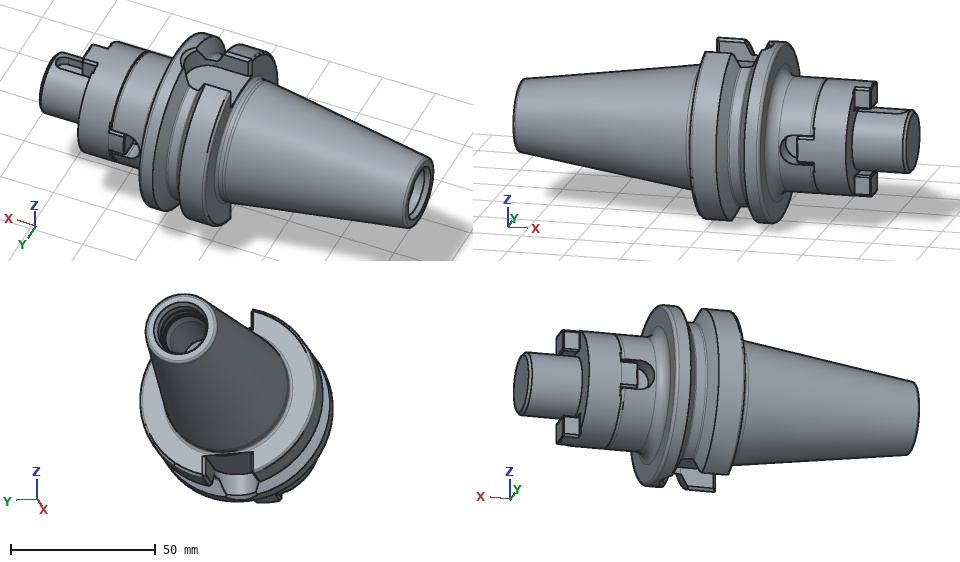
import cadquery as cq
import math


GAUGE_RADIUS = 44.45 / 2
TAPER_LENGTH = 65.4
TAPER_SLOPE = 7 / 48
TAPER_END_ROUND = 1.0
TAPER_BLEND_X = -1.0
TAPER_BLEND_HALF_LENGTH = 0.5

BORE_MOUTH_RADIUS = 9.6
BORE_MOUTH_DEPTH = 1.9
COUNTERBORE_RADIUS = 8.6
COUNTERBORE_DEPTH = 5.4
STEP_RADII = (8.2, 7.9)
STEP_DEPTHS = (7.9, 9.3)
LEAD_IN_RADIUS = 7.7
THREAD_BORE_RADIUS = 7.0
THREAD_BORE_START_DEPTH = 12.5
THREAD_BORE_END_DEPTH = 32.0
DRILL_POINT_HALF_ANGLE = 59.0

FLANGE_BACK_X = 2.0
FLANGE_FRONT_X = 27.0
FLANGE_RADIUS = 63.0 / 2
FLANGE_ROOT_FILLET = 1.0
FLANGE_BACK_ROUND = 0.9
FLANGE_FRONT_ROUND = 1.1
GROOVE_CENTER_X = 16.6
GROOVE_MOUTH_HALF_WIDTH = 5.0
GROOVE_FLOOR_RADIUS = 26.3
GROOVE_FLANK_ANGLE = 30.0
GROOVE_CORNER_FILLET = 0.6
EDGE_PICK_MARGIN = 0.1

DRIVE_SLOT_HALF_WIDTH = 8.1
DRIVE_SLOT_FLOOR = 22.5
DRIVE_SLOT_END_X = 23.0
DRIVE_SLOT_CHAMFER = 1.0
DRIVE_SLOT_TOP_CHAMFER = 1.3

NECK_RADIUS = 20.0
NECK_ROOT_FILLET = 4.0
NECK_EDGE_ROUND = 1.0
NECK_END_X = 43.0
PILOT_RADIUS = 11.0
PILOT_END_X = 74.0
PILOT_CHAMFER = 1.0
KEYWAY_WIDTH = 6.0
KEYWAY_END_X = 72.0
KEYWAY_FLOOR = 7.5

RING_LENGTH = 12.0
RING_FRONT_X = NECK_END_X + RING_LENGTH
FRONT_LUG_LENGTH = 5.3
REAR_LUG_LENGTH = 5.6
LUG_WIDTH = 9.8
LUG_INNER = 11.9
LUG_EDGE_CHAMFER = 0.6
LUG_OUTER_DROP = 0.65
LUG_END_CHAMFER = 0.5
LUG_RELIEF_DEPTH = 0.5
LUG_RELIEF_HALF_WIDTH = 7.8
LUG_SLOT_WIDTH = 10.6
LUG_SLOT_CENTER_X = 36.9


def taper_radius(x):
    return GAUGE_RADIUS + TAPER_SLOPE * x


def revolve_about_x(profile):
    return profile.close().revolve(360, (0, 0, 0), (1, 0, 0))


def make_turned_arbor():
    back_x = -TAPER_LENGTH
    collar_radius = taper_radius(TAPER_BLEND_X)
    blend_start_x = TAPER_BLEND_X - TAPER_BLEND_HALF_LENGTH
    blend_end_x = TAPER_BLEND_X + TAPER_BLEND_HALF_LENGTH

    shank = (
        cq.Workplane("XY")
        .moveTo(back_x, 0)
        .lineTo(back_x, taper_radius(back_x))
        .lineTo(blend_start_x, taper_radius(blend_start_x))
        .tangentArcPoint((blend_end_x, collar_radius), relative=False)
        .lineTo(FLANGE_BACK_X - FLANGE_ROOT_FILLET, collar_radius)
        .radiusArc((FLANGE_BACK_X, collar_radius + FLANGE_ROOT_FILLET), -FLANGE_ROOT_FILLET)
        .lineTo(FLANGE_BACK_X, 0)
    )
    shank_body = revolve_about_x(shank)
    shank_body = shank_body.faces("<X").edges().fillet(TAPER_END_ROUND)

    groove_depth = FLANGE_RADIUS - GROOVE_FLOOR_RADIUS
    flank_run = groove_depth * math.tan(math.radians(GROOVE_FLANK_ANGLE))
    floor_half_width = GROOVE_MOUTH_HALF_WIDTH - flank_run
    flange = (
        cq.Workplane("XY")
        .moveTo(FLANGE_BACK_X, 0)
        .lineTo(FLANGE_BACK_X, FLANGE_RADIUS - FLANGE_BACK_ROUND)
        .radiusArc((FLANGE_BACK_X + FLANGE_BACK_ROUND, FLANGE_RADIUS), FLANGE_BACK_ROUND)
        .lineTo(GROOVE_CENTER_X - GROOVE_MOUTH_HALF_WIDTH, FLANGE_RADIUS)
        .lineTo(GROOVE_CENTER_X - floor_half_width, GROOVE_FLOOR_RADIUS)
        .lineTo(GROOVE_CENTER_X + floor_half_width, GROOVE_FLOOR_RADIUS)
        .lineTo(GROOVE_CENTER_X + GROOVE_MOUTH_HALF_WIDTH, FLANGE_RADIUS)
        .lineTo(FLANGE_FRONT_X - FLANGE_FRONT_ROUND, FLANGE_RADIUS)
        .radiusArc((FLANGE_FRONT_X, FLANGE_RADIUS - FLANGE_FRONT_ROUND), FLANGE_FRONT_ROUND)
        .lineTo(FLANGE_FRONT_X, 0)
    )
    groove_floor_edges = cq.selectors.BoxSelector(
        (GROOVE_CENTER_X - floor_half_width - EDGE_PICK_MARGIN, -FLANGE_RADIUS, -FLANGE_RADIUS),
        (GROOVE_CENTER_X + floor_half_width + EDGE_PICK_MARGIN, FLANGE_RADIUS, FLANGE_RADIUS),
        boundingbox=True,
    )
    flange_body = revolve_about_x(flange)
    flange_body = flange_body.edges(groove_floor_edges).edges("%CIRCLE").fillet(GROOVE_CORNER_FILLET)

    neck = (
        cq.Workplane("XY")
        .moveTo(FLANGE_FRONT_X, 0)
        .lineTo(FLANGE_FRONT_X, NECK_RADIUS + NECK_ROOT_FILLET)
        .radiusArc((FLANGE_FRONT_X + NECK_ROOT_FILLET, NECK_RADIUS), -NECK_ROOT_FILLET)
        .lineTo(NECK_END_X - NECK_EDGE_ROUND, NECK_RADIUS)
        .radiusArc((NECK_END_X, NECK_RADIUS - NECK_EDGE_ROUND), NECK_EDGE_ROUND)
        .lineTo(NECK_END_X, PILOT_RADIUS)
        .lineTo(PILOT_END_X - PILOT_CHAMFER, PILOT_RADIUS)
        .lineTo(PILOT_END_X, PILOT_RADIUS - PILOT_CHAMFER)
        .lineTo(PILOT_END_X, 0)
    )
    return shank_body.union(flange_body).union(revolve_about_x(neck))


def make_drawbar_bore():
    back_x = -TAPER_LENGTH
    bore_end_x = back_x + THREAD_BORE_END_DEPTH
    point_length = THREAD_BORE_RADIUS / math.tan(math.radians(DRILL_POINT_HALF_ANGLE))
    profile = (
        cq.Workplane("XY")
        .moveTo(back_x, 0)
        .lineTo(back_x, BORE_MOUTH_RADIUS)
        .lineTo(back_x + BORE_MOUTH_DEPTH, COUNTERBORE_RADIUS)
        .lineTo(back_x + COUNTERBORE_DEPTH, COUNTERBORE_RADIUS)
    )
    step_start_x = back_x + COUNTERBORE_DEPTH
    for radius, depth in zip(STEP_RADII, STEP_DEPTHS):
        profile = profile.lineTo(step_start_x, radius).lineTo(back_x + depth, radius)
        step_start_x = back_x + depth
    profile = (
        profile.lineTo(step_start_x, LEAD_IN_RADIUS)
        .lineTo(back_x + THREAD_BORE_START_DEPTH, THREAD_BORE_RADIUS)
        .lineTo(bore_end_x, THREAD_BORE_RADIUS)
        .lineTo(bore_end_x + point_length, 0)
    )
    return revolve_about_x(profile)


def make_drive_slot():
    """Slot cutter on the +Z side: round front end, chamfered mouth along the rear flange rim."""
    width = 2 * DRIVE_SLOT_HALF_WIDTH
    height = FLANGE_RADIUS - DRIVE_SLOT_FLOOR
    center_x = DRIVE_SLOT_END_X - DRIVE_SLOT_HALF_WIDTH
    floor_plane = cq.Workplane("XY").workplane(offset=DRIVE_SLOT_FLOOR)
    straight = (
        floor_plane.center((FLANGE_BACK_X + center_x) / 2, 0)
        .rect(center_x - FLANGE_BACK_X, width)
        .extrude(height)
    )
    round_end = floor_plane.center(center_x, 0).circle(DRIVE_SLOT_HALF_WIDTH).extrude(height)

    rim_height = math.sqrt(FLANGE_RADIUS**2 - DRIVE_SLOT_HALF_WIDTH**2)
    chamfer_floor = rim_height - DRIVE_SLOT_TOP_CHAMFER
    chamfer_rise = FLANGE_RADIUS - chamfer_floor
    mouth = (
        cq.Workplane("YZ").workplane(offset=FLANGE_BACK_X)
        .moveTo(-DRIVE_SLOT_HALF_WIDTH, chamfer_floor)
        .lineTo(DRIVE_SLOT_HALF_WIDTH, chamfer_floor)
        .lineTo(DRIVE_SLOT_HALF_WIDTH + chamfer_rise, FLANGE_RADIUS)
        .lineTo(-DRIVE_SLOT_HALF_WIDTH - chamfer_rise, FLANGE_RADIUS)
        .close()
        .extrude(GROOVE_CENTER_X - FLANGE_BACK_X)
    )
    entry = (
        floor_plane
        .moveTo(FLANGE_BACK_X, DRIVE_SLOT_HALF_WIDTH + DRIVE_SLOT_CHAMFER)
        .lineTo(FLANGE_BACK_X + DRIVE_SLOT_CHAMFER, DRIVE_SLOT_HALF_WIDTH)
        .lineTo(FLANGE_BACK_X + DRIVE_SLOT_CHAMFER, -DRIVE_SLOT_HALF_WIDTH)
        .lineTo(FLANGE_BACK_X, -DRIVE_SLOT_HALF_WIDTH - DRIVE_SLOT_CHAMFER)
        .close()
        .extrude(height)
    )
    bevel_base = FLANGE_RADIUS - DRIVE_SLOT_TOP_CHAMFER
    bevel = cq.Workplane(
        cq.Solid.makeCone(
            DRIVE_SLOT_HALF_WIDTH,
            DRIVE_SLOT_HALF_WIDTH + DRIVE_SLOT_TOP_CHAMFER,
            DRIVE_SLOT_TOP_CHAMFER,
            pnt=cq.Vector(center_x, 0, bevel_base),
        )
    )
    return straight.union(round_end).union(mouth).union(entry).union(bevel)


def make_lug_slot():
    """Slot cutter on the +Z side of the neck, open to the neck's end face."""
    floor_plane = cq.Workplane("XY").workplane(offset=LUG_INNER)
    height = NECK_RADIUS + NECK_ROOT_FILLET - LUG_INNER
    length = NECK_END_X - LUG_SLOT_CENTER_X
    straight = (
        floor_plane.center(LUG_SLOT_CENTER_X + length / 2, 0)
        .rect(length, LUG_SLOT_WIDTH)
        .extrude(height)
    )
    round_end = floor_plane.center(LUG_SLOT_CENTER_X, 0).circle(LUG_SLOT_WIDTH / 2).extrude(height)
    return straight.union(round_end)


def make_keyway():
    """Feather-key slot in the pilot, running from the neck's end face to a round front end."""
    floor_plane = cq.Workplane("XY").workplane(offset=KEYWAY_FLOOR)
    height = PILOT_RADIUS - KEYWAY_FLOOR
    center_x = KEYWAY_END_X - KEYWAY_WIDTH / 2
    length = center_x - NECK_END_X
    straight = (
        floor_plane.center(NECK_END_X + length / 2, 0)
        .rect(length, KEYWAY_WIDTH)
        .extrude(height)
    )
    round_end = floor_plane.center(center_x, 0).circle(KEYWAY_WIDTH / 2).extrude(height)
    return straight.union(round_end)


def turned_about_x(shape, angle):
    return shape.rotate((0, 0, 0), (1, 0, 0), angle)


def make_arbor():
    arbor = make_turned_arbor().cut(make_drawbar_bore()).cut(make_keyway())
    for side_angle in (0, 180):
        arbor = arbor.cut(turned_about_x(make_drive_slot(), side_angle))
        arbor = arbor.cut(turned_about_x(make_lug_slot(), 90 + side_angle))
    return arbor


def make_lug(lug_length):
    """Lug on the +Z side of the ring's front face, with its outer face on the ring's cylinder."""
    root_x = RING_FRONT_X - LUG_RELIEF_DEPTH
    length = lug_length + LUG_RELIEF_DEPTH
    half_width = LUG_WIDTH / 2
    flank_top = math.sqrt(NECK_RADIUS**2 - half_width**2) - LUG_OUTER_DROP
    chamfer_rise = NECK_RADIUS - flank_top
    section = (
        cq.Workplane("YZ").workplane(offset=root_x)
        .moveTo(-half_width + LUG_EDGE_CHAMFER, LUG_INNER)
        .lineTo(half_width - LUG_EDGE_CHAMFER, LUG_INNER)
        .lineTo(half_width, LUG_INNER + LUG_EDGE_CHAMFER)
        .lineTo(half_width, flank_top)
        .lineTo(half_width - chamfer_rise, NECK_RADIUS)
        .lineTo(-half_width + chamfer_rise, NECK_RADIUS)
        .lineTo(-half_width, flank_top)
        .lineTo(-half_width, LUG_INNER + LUG_EDGE_CHAMFER)
        .close()
        .extrude(length)
    )
    section = section.faces(">X").chamfer(LUG_END_CHAMFER)
    cylinder = cq.Workplane("YZ").workplane(offset=root_x).circle(NECK_RADIUS).extrude(length)
    return section.intersect(cylinder)


def make_lug_relief():
    """Shallow recess in the ring's front face beside both flanks of a lug."""
    height = NECK_RADIUS - LUG_INNER
    return (
        cq.Workplane("YZ").workplane(offset=RING_FRONT_X - LUG_RELIEF_DEPTH)
        .center(0, LUG_INNER + height / 2)
        .rect(2 * LUG_RELIEF_HALF_WIDTH, height)
        .extrude(LUG_RELIEF_DEPTH)
    )


def facing_back(shape):
    """Mirror a front-face shape to the ring's rear face and turn it to the +Y side."""
    middle_x = (NECK_END_X + RING_FRONT_X) / 2
    return turned_about_x(shape.mirror("YZ", (middle_x, 0, 0)), 90)


def make_driving_ring():
    ring = (
        cq.Workplane("YZ").workplane(offset=NECK_END_X)
        .circle(NECK_RADIUS)
        .circle(PILOT_RADIUS)
        .extrude(RING_LENGTH)
    )
    relief = make_lug_relief()
    lugs_with_reliefs = (
        (make_lug(FRONT_LUG_LENGTH), relief),
        (facing_back(make_lug(REAR_LUG_LENGTH)), facing_back(relief)),
    )
    for side_angle in (0, 180):
        for lug, lug_relief in lugs_with_reliefs:
            ring = ring.cut(turned_about_x(lug_relief, side_angle))
            ring = ring.union(turned_about_x(lug, side_angle))
    return ring


arbor = make_arbor()
driving_ring = make_driving_ring()
result = cq.Compound.makeCompound([arbor.val(), driving_ring.val()])